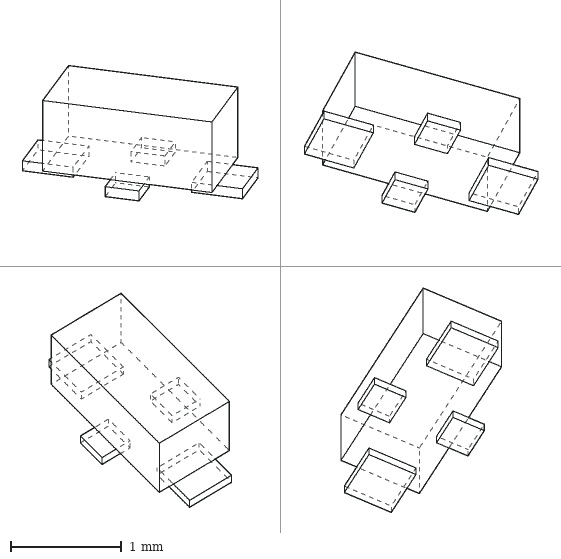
import cadquery as cq

housing_length = 1.6
housing_width = 0.8
housing_height = 0.7

pad_thickness = 0.1
end_pad_size = 0.48
side_pad_size = 0.32


def make_housing():
    """Plain block resting on top of the pads."""
    return (
        cq.Workplane("XY")
        .workplane(offset=pad_thickness)
        .rect(housing_length, housing_width)
        .extrude(housing_height)
    )


def make_pad(size, x, y):
    """Square pad centred at (x, y), with its underside at Z = 0."""
    return cq.Workplane("XY").center(x, y).rect(size, size).extrude(pad_thickness)


housing = make_housing()

end_pads = [make_pad(end_pad_size, side * housing_length / 2, 0) for side in (-1, 1)]
side_pads = [make_pad(side_pad_size, 0, side * housing_width / 2) for side in (-1, 1)]

result = cq.Compound.makeCompound(
    [housing.val(), *[pad.val() for pad in end_pads + side_pads]]
)